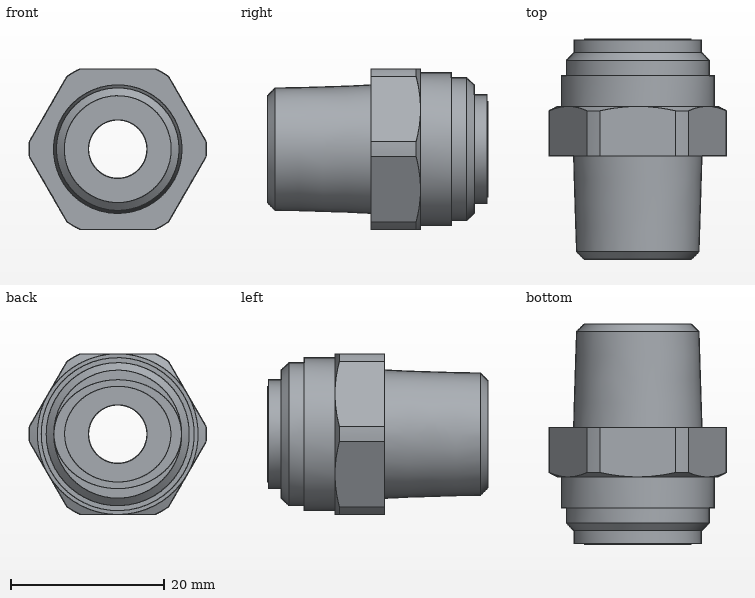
import cadquery as cq

total_length = 28.8
tip_chamfer_length = 1.0
spigot_length = 13.5
hex_length = 6.48
collar_length = 4.03
neck_length = 3.0
neck_chamfer_length = 1.05
rim_height = 0.12

pipe_taper = 1 / 16
spigot_root_diameter = 16.8
tip_diameter = spigot_root_diameter - (spigot_length - tip_chamfer_length) * pipe_taper
tip_face_diameter = 13.97
bore_diameter = 7.6

hex_across_flats = 21.0
hex_corner_diameter = 23.18
hex_chamfer_length = 0.58

collar_diameter = 20.0
neck_diameter = 18.7
neck_end_diameter = 16.73

sleeve_width = 16.65
sleeve_height = 14.23
rim_width = 13.88
rim_height_across = 12.5

hex_start = spigot_length
hex_end = hex_start + hex_length
collar_end = hex_end + collar_length
neck_end = collar_end + neck_length
sleeve_end = total_length - rim_height


def revolve_profile(points):
    """Revolve a closed outline of (radius, y) points about the Y axis."""
    return cq.Workplane("XY").polyline(points).close().revolve(360, (0, 0, 0), (0, 1, 0))


def plane_at(y):
    """XZ sketch plane at the given Y, with its normal along +Y."""
    return cq.Workplane(cq.Plane(origin=(0, y, 0), xDir=(1, 0, 0), normal=(0, 1, 0)))


def make_turned_body():
    return revolve_profile([
        (0, 0),
        (tip_face_diameter / 2, 0),
        (tip_diameter / 2, tip_chamfer_length),
        (spigot_root_diameter / 2, hex_start),
        (collar_diameter / 2, hex_start),
        (collar_diameter / 2, collar_end),
        (neck_diameter / 2, collar_end),
        (neck_diameter / 2, neck_end - neck_chamfer_length),
        (neck_end_diameter / 2, neck_end),
        (0, neck_end),
    ])


def make_hexagon():
    sketch_plane = plane_at(hex_start).transformed(rotate=(0, 0, 30))
    prism = sketch_plane.polygon(6, hex_across_flats, circumscribed=True).extrude(hex_length)
    corner_envelope = revolve_profile([
        (0, hex_start),
        (hex_corner_diameter / 2, hex_start),
        (hex_corner_diameter / 2, hex_end - hex_chamfer_length),
        (hex_across_flats / 2, hex_end),
        (0, hex_end),
    ])
    return prism.intersect(corner_envelope)


def make_oval(width, height, start, end):
    return plane_at(start).ellipse(width / 2, height / 2).extrude(end - start)


sleeve = make_oval(sleeve_width, sleeve_height, neck_end, sleeve_end)
rim = make_oval(rim_width, rim_height_across, sleeve_end, total_length)
bore = plane_at(0).circle(bore_diameter / 2).extrude(total_length)

result = make_turned_body().union(make_hexagon()).union(sleeve).union(rim).cut(bore)